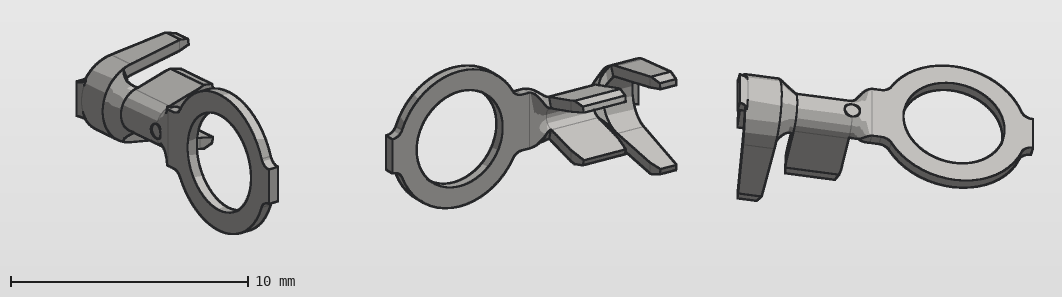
import cadquery as cq
import math

sheet = 0.5

total_length = 12.71
ring_x = 9.3
ring_diameter = 6.22
ring_radius = ring_diameter / 2
hole_radius = 2.17
neck_half_width = 1.28
tab_half_width = 0.79
blend_radius = 0.5

insulation_start = 0.25
insulation_end = 1.8
barrel_start = 2.55
barrel_end = 4.93
neck_start = 5.77

insulation_base = -0.4
insulation_radius = 1.8
insulation_lean = 9.8
insulation_top = 4.31
insulation_shear = 0.61

barrel_radius = 1.0
barrel_lean = 14.6
barrel_top = 3.18

tip_land = 0.27
insulation_bevel = 0.47
barrel_bevel = 0.46
insulation_taper_length = 0.61
barrel_taper_length = 0.8
tip_taper = 0.13

insulation_half_angle = 67
waist_half_angle = 65
barrel_half_angle = 85
neck_steps = 4
stub_half_angle = 29
stub_overlap = 0.1
stub_bend_share = 0.3

dimple_radius = 0.33
dimple_depth = 0.06


def crimp_outline(base_y, outer_radius, lean, top_y, tip_bevel):
    """U section with leaning arms whose tips are bevelled on the outside."""
    inner_radius = outer_radius - sheet
    center_y = base_y + outer_radius
    along = (math.cos(math.radians(lean)), math.sin(math.radians(lean)))
    across = (-along[1], along[0])
    arm_length = (top_y - center_y - inner_radius * across[0]) / along[0]

    def arm_point(length, radius, side):
        y = center_y + length * along[0] + radius * across[0]
        z = length * along[1] + radius * across[1]
        return (y, side * z)

    shoulder_length = arm_length - tip_bevel
    land_radius = inner_radius + tip_land
    outline = cq.Workplane("YZ").moveTo(*arm_point(0, outer_radius, -1))
    outline = outline.threePointArc((base_y, 0), arm_point(0, outer_radius, 1))
    outline = outline.lineTo(*arm_point(shoulder_length, outer_radius, 1))
    outline = outline.lineTo(*arm_point(arm_length, land_radius, 1))
    outline = outline.lineTo(*arm_point(arm_length, inner_radius, 1))
    outline = outline.lineTo(*arm_point(0, inner_radius, 1))
    outline = outline.threePointArc((base_y + sheet, 0), arm_point(0, inner_radius, -1))
    outline = outline.lineTo(*arm_point(arm_length, inner_radius, -1))
    outline = outline.lineTo(*arm_point(arm_length, land_radius, -1))
    outline = outline.lineTo(*arm_point(shoulder_length, outer_radius, -1))
    return outline.close()


def plan_prism(points):
    """Tall prism through the whole height in Z, used to trim arms in plan."""
    return cq.Workplane("XY").polyline(points).close().extrude(ring_radius, both=True)


def bend_section(x, base_y, outer_radius, half_angle):
    """Curved strip section, one sheet thick, with radial ends; the angle is in degrees."""
    center_y = base_y + outer_radius

    def strip_end(radius, side):
        angle = math.radians(half_angle)
        return (center_y - radius * math.cos(angle), side * radius * math.sin(angle))

    inner_radius = outer_radius - sheet
    section = cq.Workplane("YZ", origin=(x, 0, 0)).moveTo(*strip_end(outer_radius, -1))
    section = section.threePointArc((base_y, 0), strip_end(outer_radius, 1))
    section = section.lineTo(*strip_end(inner_radius, 1))
    section = section.threePointArc((base_y + sheet, 0), strip_end(inner_radius, -1))
    return section.close().val()


def flat_section(x, base_y, half_width):
    """Flat strip section, one sheet thick."""
    section = cq.Workplane("YZ", origin=(x, 0, 0)).polyline([
        (base_y, -half_width),
        (base_y, half_width),
        (base_y + sheet, half_width),
        (base_y + sheet, -half_width),
    ])
    return section.close().val()


def loft_strip(sections):
    """Smooth solid through a run of strip sections."""
    return cq.Workplane(cq.Solid.makeLoft(sections))


def plate_strip(start_x, end_x, half_width):
    """Flat strip of sheet along X in the plane of the ring."""
    strip = cq.Workplane("XY", origin=(start_x, 0, 0))
    return strip.box(end_x - start_x, sheet, 2 * half_width, centered=(False, False, True))


def make_ring():
    """Flat eyelet with its neck and end tab, blended into the round outline."""
    ring = cq.Workplane("XZ").center(ring_x, 0).circle(ring_radius).extrude(-sheet)
    neck = plate_strip(neck_start, ring_x, neck_half_width)
    tab = plate_strip(ring_x, total_length, tab_half_width)
    ring = ring.union(neck).union(tab)
    corner_region = cq.selectors.BoxSelector(
        (ring_x - ring_radius, 0, -ring_radius),
        (ring_x + ring_radius, sheet, ring_radius),
    )
    ring = ring.edges("|Y").edges(corner_region).fillet(blend_radius)
    hole = cq.Workplane("XZ").center(ring_x, 0).circle(hole_radius).extrude(-sheet)
    return ring.cut(hole)


def make_barrel():
    """Wire barrel, narrowed towards the arm tips on both sides."""
    outline = crimp_outline(0, barrel_radius, barrel_lean, barrel_top, barrel_bevel)
    barrel = outline.extrude(barrel_end - barrel_start).translate((barrel_start, 0, 0))
    plan = plan_prism([
        (barrel_start, 0),
        (barrel_end, 0),
        (barrel_end, barrel_top - barrel_taper_length),
        (barrel_end - tip_taper, barrel_top),
        (barrel_start + tip_taper, barrel_top),
        (barrel_start, barrel_top - barrel_taper_length),
    ])
    return barrel.intersect(plan)


def make_insulation_crimp():
    """Insulation crimp with a slanting free edge."""
    outline = crimp_outline(
        insulation_base, insulation_radius, insulation_lean, insulation_top, insulation_bevel
    )
    crimp = outline.extrude(insulation_end)
    plan = plan_prism([
        (insulation_start, insulation_base),
        (insulation_end, insulation_base),
        (insulation_end, insulation_top - insulation_taper_length),
        (insulation_end - tip_taper, insulation_top),
        (insulation_start + insulation_shear, insulation_top),
    ])
    return crimp.intersect(plan)


def make_end_stub():
    """Flat stub at the free end that bends up into the insulation crimp."""
    stub_end = insulation_start + stub_overlap
    middle_angle = stub_half_angle * stub_bend_share
    middle_radius = tab_half_width / math.radians(middle_angle)
    return loft_strip([
        flat_section(0, insulation_base, tab_half_width),
        bend_section(stub_end / 2, insulation_base, middle_radius, middle_angle),
        bend_section(stub_end, insulation_base, insulation_radius, stub_half_angle),
    ])


def make_crimp_transition():
    """Tapered trough joining the two crimps, its upper edges dipping in the middle."""
    middle_x = (insulation_end + barrel_start) / 2
    middle_radius = (insulation_radius + barrel_radius) / 2
    return loft_strip([
        bend_section(insulation_end, insulation_base, insulation_radius, insulation_half_angle),
        bend_section(middle_x, insulation_base / 2, middle_radius, waist_half_angle),
        bend_section(barrel_start, 0, barrel_radius, barrel_half_angle),
    ])


def make_neck_transition():
    """Strip of constant width that unbends smoothly from the barrel to the flat neck."""
    start_angle = math.degrees(neck_half_width / barrel_radius)
    sections = []
    for step in range(neck_steps):
        travel = step / neck_steps
        eased = travel * travel * (3 - 2 * travel)
        half_angle = start_angle * (1 - eased)
        outer_radius = barrel_radius / (1 - eased)
        x = barrel_end + (neck_start - barrel_end) * travel
        sections.append(bend_section(x, 0, outer_radius, half_angle))
    sections.append(flat_section(neck_start, 0, neck_half_width))
    return loft_strip(sections)


def make_dimple():
    """Cutter for the shallow flat-floored dimple at the end of the barrel."""
    return cq.Workplane("XZ").center(barrel_end, 0).circle(dimple_radius).extrude(-dimple_depth)


result = (
    make_ring()
    .union(make_neck_transition())
    .union(make_barrel())
    .union(make_crimp_transition())
    .union(make_insulation_crimp())
    .union(make_end_stub())
    .cut(make_dimple())
)